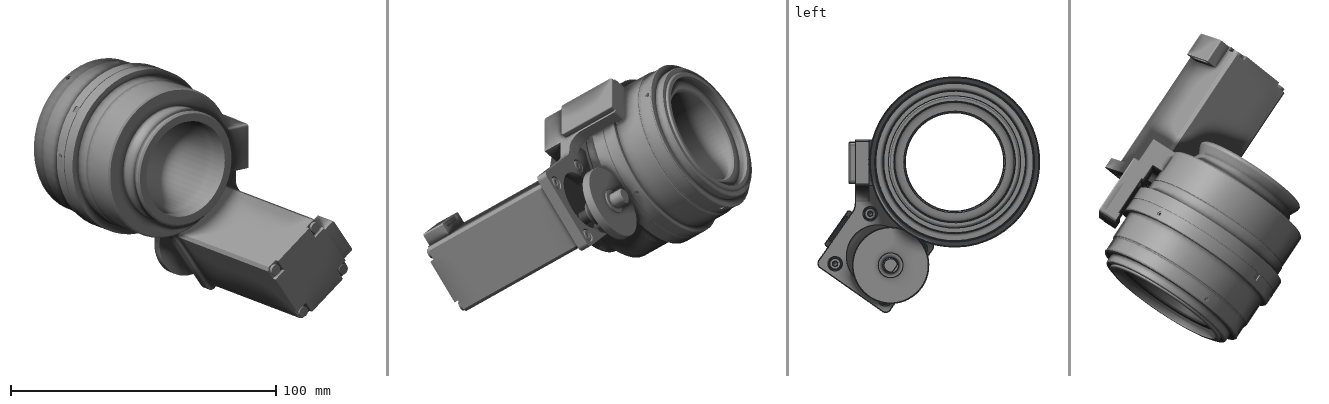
import cadquery as cq
import math

HEX_SIDES = 6

X_LIP = 0.8
X_FRONT_COLLAR = 4.1
X_FRONT_RING = 10.2
X_MID_SLEEVE = 21.1
X_RING_SPLIT = 26.1
X_DRIVE_RING = 31.3
X_STEP_SLEEVE = 36.6
X_REAR_SLEEVE = 50.0
X_BARREL_END = 59.55

LIP_RADIUS = 24.9
FRONT_COLLAR_RADIUS = 27.0
FRONT_RING_RADIUS = 29.7
MID_SLEEVE_RADIUS = 30.2
DRIVE_RING_RADIUS = 32.1
STEP_SLEEVE_RADIUS = 29.4
REAR_SLEEVE_RADIUS = 29.1
MOUNT_RADIUS = 22.2
RING_CHAMFER = 0.3
LIP_FILLET = 0.7
RIM_WIDTH = 0.7
RIM_HEIGHT = 0.2
REAR_CHAMFER = 0.6

BORE_RADIUS = 18.6
BORE_CHAMFER = 0.6
RECESS_MOUTH_RADIUS = 22.9
RECESS_FLOOR_RADIUS = 22.5
RECESS_TAPER_START = 2.2
RECESS_DEPTH = 3.3

MOUNT_GROOVE_HALF_WIDTH = 3.2
MOUNT_GROOVE_DEPTH = 1.6
X_MOUNT_GROOVE = 54.8
SPLIT_GROOVE_WIDTH = 0.4
SPLIT_GROOVE_DEPTH = 0.3

SET_SCREW_DIAMETER = 1.9
SET_SCREW_RECESS = 0.4
SET_SCREW_SOCKET = 1.2
SET_SCREW_SOCKET_DEPTH = 1.2
SET_SCREW_COUNT = 3
X_FRONT_SET_SCREWS = 6.0
FRONT_SET_SCREW_ANGLE = 0
X_DRIVE_SET_SCREWS = 23.6
DRIVE_SET_SCREW_ANGLE = 56

BORE_HOLE_DIAMETER = 1.7
BORE_HOLE_DEPTH = 3.0
X_BORE_HOLE = 19.2
BORE_HOLE_ANGLE = 5.5

NOTCH_ANGLE = 142
NOTCH_WIDTH = 2.4
NOTCH_LENGTH = 2.7
NOTCH_DEPTH = 0.5

MOTOR_Y = 29.0
MOTOR_Z = -35.5
MOTOR_TILT = math.radians(35)
MOTOR_SIZE = 28.0
MOTOR_CORNER_CHAMFER = 1.2
X_MOTOR_FACE = 41.7
X_MOTOR_BODY_END = 97.6
X_MOTOR_END = 99.25
CAP_NOTCH = 5.1
MOTOR_SCREW_SPACING = 23.0
CAP_SCREW_DIAMETER = 4.0
CAP_SCREW_HEIGHT = 1.2

CONNECTOR_REACH = 5.0
CONNECTOR_WIDTH = 15.9
CONNECTOR_CHAMFER = 0.5
X_CONNECTOR_START = 89.5
X_CONNECTOR_END = 99.1
SOCKET_WIDTH = 11.1
SOCKET_WALL = 0.4
SOCKET_HEIGHT = 2.0
SOCKET_DEPTH = 6.0
TONGUE_HEIGHT = 1.3
TONGUE_SETBACK = 1.0

SHAFT_OFFSET = 6.0
SHAFT_Y = MOTOR_Y - SHAFT_OFFSET * math.cos(MOTOR_TILT)
SHAFT_Z = MOTOR_Z - SHAFT_OFFSET * math.sin(MOTOR_TILT)
SHAFT_DIAMETER = 6.0
SHAFT_CHAMFER = 0.5
SHAFT_NECK_DIAMETER = 5.2
X_SHAFT_TIP = 21.4
SHAFT_FLAT_DISTANCE = 2.7
TIP_FLAT_DISTANCE = 2.0

HUB_DIAMETER = 9.3
X_HUB_START = 26.5
X_HUB_END = 37.0
DISC_DIAMETER = 28.8
DISC_CHAMFER = 0.2
X_DISC_START = 27.1
X_DISC_END = 30.4

X_PLATE_START = 37.5
PLATE_CONNECTOR_SIDE = 17.3
PLATE_FAR_SIDE = 15.5
PLATE_HALF_HEIGHT = 16.0
PLATE_CORNER_RADIUS = 2.0
PLATE_BEND_RADIUS = 6.0
PILOT_HOLE_DIAMETER = 23.6
COUNTERBORE_DIAMETER = 5.5
COUNTERBORE_DEPTH = 2.5
SCREW_HEAD_DIAMETER = 4.5
HEX_SOCKET_WIDTH = 2.2
HEX_SOCKET_DEPTH = 1.2
SCREW_HEAD_CHAMFER = 0.2
SOCKET_POINT_DIAMETER = 1.8
SOCKET_POINT_DEPTH = 0.5
SOCKET_POINT_ANGLE = 60

X_ARM_START = 15.1
X_ARM_END = 49.4
ARM_INNER_Y = 32.3
ARM_OUTER_Y = 37.4
ARM_TOP_Z = 8.3
ARM_BOTTOM_Z = -8.9
ARM_EDGE_CHAMFER = 0.6
ARM_REAR_FILLET = 0.8
ARM_PLATE_FILLET = 5.9
X_ARM_RECESS_START = 18.4
X_ARM_RECESS_END = 34.2
ARM_RECESS_DEPTH = 0.7
BUTTON_DIAMETER = 2.5
BUTTON_CHAMFER = 0.5
X_BUTTON = 32.8

X_FOOT_START = 40.8
FOOT_FILLET = 1.9
WEB_INNER_Y = 24.8
WEB_BOTTOM_Z = -23.8

COVER_LENGTH = 24.5
COVER_THICKNESS = 2.4
COVER_TOP_Z = 7.4
COVER_BOTTOM_Z = -8.1
COVER_CORNER_RADIUS = 1.0
COVER_EDGE_FILLET = 0.5


def disc_along_x(x_start, x_end, radius, y=0.0, z=0.0):
    """Cylinder parallel to the X axis between two X positions."""
    return (
        cq.Workplane("YZ", origin=(x_start, y, z))
        .circle(radius)
        .extrude(x_end - x_start)
    )


def box_between(x_range, y_range, z_range):
    """Box from its lower and upper limits along each axis."""
    corner = (x_range[0], y_range[0], z_range[0])
    return cq.Workplane("XY", origin=corner).box(
        x_range[1] - x_range[0],
        y_range[1] - y_range[0],
        z_range[1] - z_range[0],
        centered=False,
    )


def motor_plane(x):
    """Plane across the motor axis, local x pointing away from the connector side."""
    return cq.Workplane(
        cq.Plane(
            origin=(x, MOTOR_Y, MOTOR_Z),
            xDir=(0, -math.cos(MOTOR_TILT), -math.sin(MOTOR_TILT)),
            normal=(1, 0, 0),
        )
    )


def radial_plane(x, angle, radius):
    """Plane touching a cylinder about the optical axis; angle is measured from +Y towards +Z."""
    turn = math.radians(angle)
    outward = (0, math.cos(turn), math.sin(turn))
    return cq.Workplane(
        cq.Plane(
            origin=(x, radius * outward[1], radius * outward[2]),
            xDir=(1, 0, 0),
            normal=outward,
        )
    )


def front_ring_rim(x_start):
    """Slightly raised, chamfered rim at one end of the front ring."""
    return (
        disc_along_x(x_start, x_start + RIM_WIDTH, FRONT_RING_RADIUS + RIM_HEIGHT)
        .edges()
        .chamfer(RING_CHAMFER)
    )


def chamfered_disc(x_start, x_end, radius, chamfered_face, chamfer):
    return disc_along_x(x_start, x_end, radius).faces(chamfered_face).chamfer(chamfer)


def barrel_outside():
    lip = disc_along_x(0, X_LIP, LIP_RADIUS).faces("<X").edges().fillet(LIP_FILLET)
    rings = [
        chamfered_disc(X_LIP, X_FRONT_COLLAR, FRONT_COLLAR_RADIUS, "<X", RING_CHAMFER),
        disc_along_x(X_FRONT_COLLAR, X_FRONT_RING, FRONT_RING_RADIUS),
        front_ring_rim(X_FRONT_COLLAR),
        front_ring_rim(X_FRONT_RING - RIM_WIDTH),
        chamfered_disc(X_FRONT_RING, X_MID_SLEEVE, MID_SLEEVE_RADIUS, "<X", RING_CHAMFER),
        chamfered_disc(X_MID_SLEEVE, X_DRIVE_RING, DRIVE_RING_RADIUS, "<X", RING_CHAMFER),
        chamfered_disc(X_DRIVE_RING, X_STEP_SLEEVE, STEP_SLEEVE_RADIUS, ">X", REAR_CHAMFER),
        chamfered_disc(X_STEP_SLEEVE, X_REAR_SLEEVE, REAR_SLEEVE_RADIUS, ">X", REAR_CHAMFER),
        chamfered_disc(X_REAR_SLEEVE, X_BARREL_END, MOUNT_RADIUS, ">X", REAR_CHAMFER),
    ]
    body = lip
    for ring in rings:
        body = body.union(ring)
    return body


def barrel_bore():
    """Through bore with a chamfered mouth in the floor of a wider, tapered front recess."""
    chamfer_end = RECESS_DEPTH + BORE_CHAMFER
    return (
        cq.Workplane("XY")
        .moveTo(0, 0)
        .lineTo(0, RECESS_MOUTH_RADIUS)
        .lineTo(RECESS_TAPER_START, RECESS_MOUTH_RADIUS)
        .lineTo(RECESS_DEPTH, RECESS_FLOOR_RADIUS)
        .lineTo(RECESS_DEPTH, BORE_RADIUS + BORE_CHAMFER)
        .lineTo(chamfer_end, BORE_RADIUS)
        .lineTo(X_BARREL_END, BORE_RADIUS)
        .lineTo(X_BARREL_END, 0)
        .close()
        .revolve(360, (0, 0, 0), (1, 0, 0))
    )


def mount_groove():
    """V-shaped groove around the rear mount."""
    return (
        cq.Workplane("XY")
        .moveTo(X_MOUNT_GROOVE - MOUNT_GROOVE_HALF_WIDTH, MOUNT_RADIUS)
        .lineTo(X_MOUNT_GROOVE, MOUNT_RADIUS - MOUNT_GROOVE_DEPTH)
        .lineTo(X_MOUNT_GROOVE + MOUNT_GROOVE_HALF_WIDTH, MOUNT_RADIUS)
        .close()
        .revolve(360, (0, 0, 0), (1, 0, 0))
    )


def split_groove():
    """Narrow groove around the middle of the drive ring."""
    x_start = X_RING_SPLIT - SPLIT_GROOVE_WIDTH / 2
    x_end = X_RING_SPLIT + SPLIT_GROOVE_WIDTH / 2
    outer = disc_along_x(x_start, x_end, DRIVE_RING_RADIUS)
    return outer.cut(disc_along_x(x_start, x_end, DRIVE_RING_RADIUS - SPLIT_GROOVE_DEPTH))


def set_screw_recess(x, angle, radius):
    """Sunken set screw with a hexagonal socket."""
    plane = radial_plane(x, angle, radius)
    recess = plane.circle(SET_SCREW_DIAMETER / 2).extrude(-SET_SCREW_RECESS)
    socket = plane.polygon(HEX_SIDES, SET_SCREW_SOCKET).extrude(-SET_SCREW_SOCKET_DEPTH)
    return recess.union(socket)


def drive_ring_notch():
    """Rectangular notch that opens into the split groove."""
    x_middle = X_RING_SPLIT - NOTCH_LENGTH / 2
    return (
        radial_plane(x_middle, NOTCH_ANGLE, DRIVE_RING_RADIUS)
        .rect(NOTCH_LENGTH, NOTCH_WIDTH)
        .extrude(-NOTCH_DEPTH)
    )


def build_barrel():
    body = barrel_outside()
    body = body.cut(barrel_bore()).cut(mount_groove()).cut(split_groove()).cut(drive_ring_notch())
    for index in range(SET_SCREW_COUNT):
        turn = index * 360 / SET_SCREW_COUNT
        body = body.cut(
            set_screw_recess(X_FRONT_SET_SCREWS, FRONT_SET_SCREW_ANGLE + turn, FRONT_RING_RADIUS)
        )
        body = body.cut(
            set_screw_recess(X_DRIVE_SET_SCREWS, DRIVE_SET_SCREW_ANGLE + turn, DRIVE_RING_RADIUS)
        )
    bore_hole = radial_plane(X_BORE_HOLE, BORE_HOLE_ANGLE, 0).circle(BORE_HOLE_DIAMETER / 2)
    return body.cut(bore_hole.extrude(BORE_RADIUS + BORE_HOLE_DEPTH))


def motor_body():
    body = (
        motor_plane(X_MOTOR_FACE)
        .rect(MOTOR_SIZE, MOTOR_SIZE)
        .extrude(X_MOTOR_END - X_MOTOR_FACE)
        .edges("|X")
        .chamfer(MOTOR_CORNER_CHAMFER)
    )
    corner_cuts = (
        motor_plane(X_MOTOR_BODY_END)
        .rect(MOTOR_SIZE, MOTOR_SIZE, forConstruction=True)
        .vertices()
        .rect(2 * CAP_NOTCH, 2 * CAP_NOTCH)
        .extrude(X_MOTOR_END - X_MOTOR_BODY_END)
    )
    cap_screws = (
        motor_plane(X_MOTOR_BODY_END)
        .rect(MOTOR_SCREW_SPACING, MOTOR_SCREW_SPACING, forConstruction=True)
        .vertices()
        .circle(CAP_SCREW_DIAMETER / 2)
        .extrude(CAP_SCREW_HEIGHT)
    )
    return body.cut(corner_cuts).union(cap_screws)


def motor_connector():
    """Plug housing on one side of the motor, open towards the front."""
    outer_edge = -(MOTOR_SIZE / 2 + CONNECTOR_REACH)
    half_width = CONNECTOR_WIDTH / 2
    chamfer = CONNECTOR_CHAMFER
    housing = (
        motor_plane(X_CONNECTOR_START)
        .moveTo(outer_edge + CONNECTOR_REACH, -half_width)
        .lineTo(outer_edge + chamfer, -half_width)
        .lineTo(outer_edge, chamfer - half_width)
        .lineTo(outer_edge, half_width - chamfer)
        .lineTo(outer_edge + chamfer, half_width)
        .lineTo(outer_edge + CONNECTOR_REACH, half_width)
        .close()
        .extrude(X_CONNECTOR_END - X_CONNECTOR_START)
    )
    socket = (
        motor_plane(X_CONNECTOR_START)
        .center(outer_edge + SOCKET_WALL + SOCKET_HEIGHT / 2, 0)
        .rect(SOCKET_HEIGHT, SOCKET_WIDTH)
        .extrude(SOCKET_DEPTH)
    )
    tongue = (
        motor_plane(X_CONNECTOR_START + TONGUE_SETBACK)
        .center(outer_edge + SOCKET_WALL + SOCKET_HEIGHT - TONGUE_HEIGHT / 2, 0)
        .rect(TONGUE_HEIGHT, SOCKET_WIDTH)
        .extrude(SOCKET_DEPTH - TONGUE_SETBACK)
    )
    return housing.cut(socket).union(tongue)


def motor_shaft():
    """Off-centre output shaft with a flat for the hub and a short flat at its tip."""
    shaft = disc_along_x(X_SHAFT_TIP, X_HUB_END, SHAFT_DIAMETER / 2, SHAFT_Y, SHAFT_Z)
    shaft = shaft.faces("<X").chamfer(SHAFT_CHAMFER)
    neck = disc_along_x(X_HUB_END, X_MOTOR_FACE, SHAFT_NECK_DIAMETER / 2, SHAFT_Y, SHAFT_Z)
    flat = (
        motor_plane(X_SHAFT_TIP)
        .center(SHAFT_OFFSET, -SHAFT_FLAT_DISTANCE - SHAFT_DIAMETER / 2)
        .rect(2 * SHAFT_DIAMETER, SHAFT_DIAMETER)
        .extrude(X_HUB_START - X_SHAFT_TIP)
    )
    tip_flat = (
        motor_plane(X_SHAFT_TIP)
        .center(SHAFT_OFFSET + TIP_FLAT_DISTANCE + SHAFT_DIAMETER / 2, 0)
        .rect(SHAFT_DIAMETER, 2 * SHAFT_DIAMETER)
        .extrude(SHAFT_CHAMFER)
    )
    return shaft.cut(flat).cut(tip_flat).union(neck)


def build_motor():
    return motor_body().union(motor_connector()).union(motor_shaft())


def build_gear():
    """Hub and disc on the shaft; the rim is relieved where it runs against the drive ring."""
    hub = disc_along_x(X_HUB_START, X_HUB_END, HUB_DIAMETER / 2, SHAFT_Y, SHAFT_Z)
    disc = disc_along_x(X_DISC_START, X_DISC_END, DISC_DIAMETER / 2, SHAFT_Y, SHAFT_Z)
    disc = disc.edges().chamfer(DISC_CHAMFER)
    drive_ring = disc_along_x(X_MID_SLEEVE, X_DRIVE_RING, DRIVE_RING_RADIUS)
    bore = disc_along_x(X_HUB_START, X_HUB_END, SHAFT_DIAMETER / 2, SHAFT_Y, SHAFT_Z)
    return hub.union(disc).cut(drive_ring).cut(bore)


def bracket_plate():
    """Tilted motor plate joined to an upright web below the arm."""
    length = PLATE_CONNECTOR_SIDE + PLATE_FAR_SIDE
    thickness = X_MOTOR_FACE - X_PLATE_START
    plate = (
        motor_plane(X_PLATE_START)
        .center((PLATE_FAR_SIDE - PLATE_CONNECTOR_SIDE) / 2, 0)
        .rect(length, 2 * PLATE_HALF_HEIGHT)
        .extrude(thickness)
        .edges("|X")
        .fillet(PLATE_CORNER_RADIUS)
    )
    web = box_between(
        (X_PLATE_START, X_MOTOR_FACE), (WEB_INNER_Y, ARM_OUTER_Y), (WEB_BOTTOM_Z, ARM_BOTTOM_Z)
    )
    edge_y = MOTOR_Y + PLATE_CONNECTOR_SIDE * math.cos(MOTOR_TILT)
    edge_z = MOTOR_Z + PLATE_CONNECTOR_SIDE * math.sin(MOTOR_TILT)
    bend_z = edge_z + (edge_y - ARM_OUTER_Y) / math.tan(MOTOR_TILT)
    bend = cq.NearestToPointSelector((X_PLATE_START + thickness / 2, ARM_OUTER_Y, bend_z))
    return plate.union(web).edges("|X").edges(bend).fillet(PLATE_BEND_RADIUS)


def inner_corner_fillet(x_corner, z_corner, radius, z_direction, y_range):
    """Concave filling in front of an upright face; it grows from z_corner in z_direction (1 or -1)."""
    x_tangent = x_corner - radius
    z_tangent = z_corner + z_direction * radius
    z_range = (min(z_corner, z_tangent), max(z_corner, z_tangent))
    block = box_between((x_tangent, x_corner), y_range, z_range)
    hollow = (
        cq.Workplane("XZ", origin=(x_tangent, y_range[1], z_tangent))
        .circle(radius)
        .extrude(y_range[1] - y_range[0])
    )
    return block.cut(hollow)


def bracket_arm():
    """Arm past the barrel, with a shallow recess, a button in it, and a fillet down to the plate."""
    arm = box_between(
        (X_ARM_START, X_ARM_END), (ARM_INNER_Y, ARM_OUTER_Y), (ARM_BOTTOM_Z, ARM_TOP_Z)
    )
    arm = arm.edges("|Y and <X").chamfer(ARM_EDGE_CHAMFER)
    arm = arm.edges("|Y and >X and >Z").fillet(ARM_REAR_FILLET)
    recess_floor = ARM_INNER_Y + ARM_RECESS_DEPTH
    recess = box_between(
        (X_ARM_RECESS_START, X_ARM_RECESS_END), (ARM_INNER_Y, recess_floor), (ARM_BOTTOM_Z, ARM_TOP_Z)
    )
    button = (
        cq.Workplane("XZ", origin=(X_BUTTON, recess_floor, 0))
        .circle(BUTTON_DIAMETER / 2)
        .extrude(ARM_RECESS_DEPTH)
        .faces("<Y")
        .chamfer(BUTTON_CHAMFER)
    )
    filling = inner_corner_fillet(
        X_PLATE_START, ARM_BOTTOM_Z, ARM_PLATE_FILLET, -1, (ARM_INNER_Y, ARM_OUTER_Y)
    )
    return arm.cut(recess).union(button).union(filling)


def bracket_foot():
    """Foot from the arm to the rear sleeve, with a small fillet onto the top of the web."""
    foot = box_between(
        (X_FOOT_START, X_ARM_END), (WEB_INNER_Y, ARM_INNER_Y), (ARM_BOTTOM_Z, ARM_TOP_Z)
    )
    foot = foot.edges("|Y and >X and >Z").fillet(ARM_REAR_FILLET)
    filling = inner_corner_fillet(X_FOOT_START, ARM_BOTTOM_Z, FOOT_FILLET, 1, (WEB_INNER_Y, ARM_INNER_Y))
    return foot.union(filling)


def screw_points(x):
    """Centres of the four motor screws on a plane across the motor axis."""
    return (
        motor_plane(x)
        .rect(MOTOR_SCREW_SPACING, MOTOR_SCREW_SPACING, forConstruction=True)
        .vertices()
    )


def screw_counterbores():
    return screw_points(X_PLATE_START).circle(COUNTERBORE_DIAMETER / 2).extrude(COUNTERBORE_DEPTH)


def screw_heads():
    """Sunken screw heads, each with a hexagonal socket that ends in a conical point."""
    heads = screw_points(X_PLATE_START).circle(SCREW_HEAD_DIAMETER / 2).extrude(COUNTERBORE_DEPTH)
    heads = heads.faces("<X").chamfer(SCREW_HEAD_CHAMFER)
    sockets = screw_points(X_PLATE_START).polygon(HEX_SIDES, HEX_SOCKET_WIDTH).extrude(HEX_SOCKET_DEPTH)
    points = (
        screw_points(X_PLATE_START + HEX_SOCKET_DEPTH)
        .circle(SOCKET_POINT_DIAMETER / 2)
        .extrude(SOCKET_POINT_DEPTH, taper=SOCKET_POINT_ANGLE)
    )
    return heads.cut(sockets).cut(points)


def build_bracket():
    """Plate, arm and foot, trimmed to sit against the rear sleeve of the barrel."""
    rear_sleeve = disc_along_x(X_DRIVE_RING, X_REAR_SLEEVE, REAR_SLEEVE_RADIUS)
    pilot_hole = (
        motor_plane(X_PLATE_START)
        .circle(PILOT_HOLE_DIAMETER / 2)
        .extrude(X_MOTOR_FACE - X_PLATE_START)
    )
    body = bracket_plate().union(bracket_arm()).union(bracket_foot())
    return body.cut(rear_sleeve).cut(pilot_hole).cut(screw_counterbores()).union(screw_heads())


def build_cover():
    cover = box_between(
        (X_ARM_START, X_ARM_START + COVER_LENGTH),
        (ARM_OUTER_Y, ARM_OUTER_Y + COVER_THICKNESS),
        (COVER_BOTTOM_Z, COVER_TOP_Z),
    )
    return cover.edges("|Y").fillet(COVER_CORNER_RADIUS).faces(">Y").edges().fillet(COVER_EDGE_FILLET)


barrel = build_barrel()
motor = build_motor()
gear = build_gear()
bracket = build_bracket()
cover = build_cover()

result = cq.Compound.makeCompound(
    [part.solids().val() for part in (barrel, motor, gear, bracket, cover)]
)